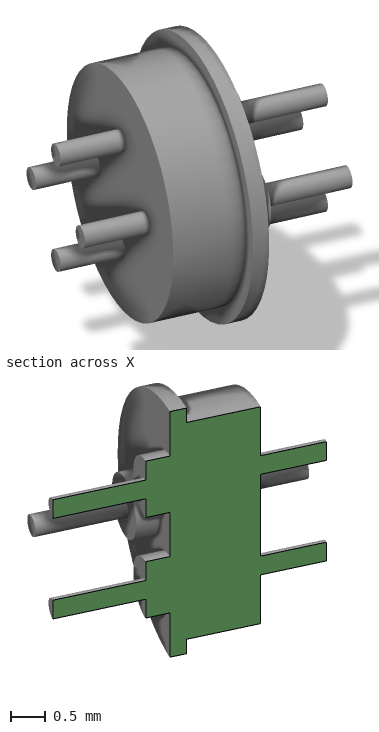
import cadquery as cq

flange_diameter = 4.37
flange_thickness = 0.26
body_diameter = 3.86
body_length = 1.145

pin_diameter = 0.34
pin_length = 4.22
pin_front_projection = 1.015
pin_offset = 0.89

bead_diameter = 0.89
boss_diameter = 1.01
boss_height = 0.375

flange_back = body_length + flange_thickness
pin_centers = [(pin_offset, 0), (-pin_offset, 0), (0, pin_offset), (0, -pin_offset)]


def cylinder(diameter, start, length, center=(0, 0)):
    """Cylinder running toward +Y from Y = start, centred at (x, z)."""
    x, z = center
    base = cq.Vector(x, start, z)
    return cq.Solid.makeCylinder(diameter / 2, length, base, cq.Vector(0, 1, 0))


shell = cq.Workplane(obj=cylinder(body_diameter, 0, body_length))
shell = shell.union(cylinder(flange_diameter, body_length, flange_thickness))
for center in pin_centers:
    shell = shell.cut(cylinder(bead_diameter, 0, flange_back, center))

result = shell
for center in pin_centers:
    bead = cylinder(bead_diameter, 0, flange_back, center)
    boss = cylinder(boss_diameter, flange_back, boss_height, center)
    pin = cylinder(pin_diameter, -pin_front_projection, pin_length, center)
    for piece in (bead, boss, pin):
        result = result.union(piece, clean=False)